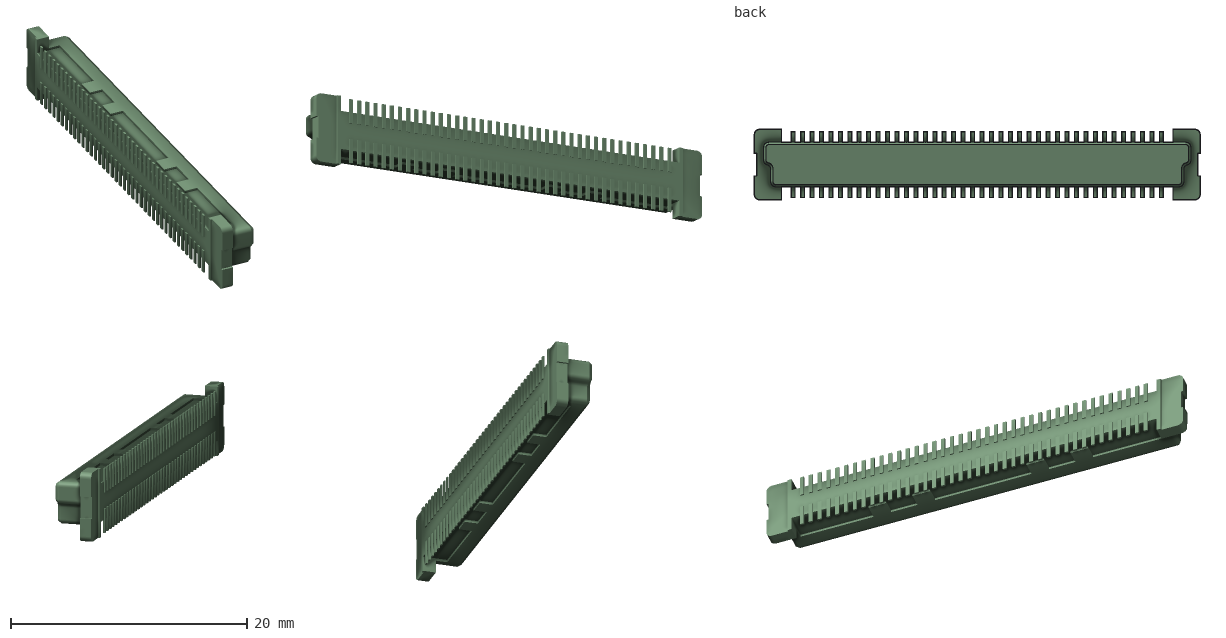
import cadquery as cq

LENGTH = 37.8
DEPTH = 3.7
HEIGHT = 6.0
MATING_Y = DEPTH / 2
BOARD_Y = -DEPTH / 2

PITCH = 0.8
CONTACTS_PER_ROW = 40
TAIL_WIDTH = 0.34
TAIL_INNER_Z = 0.7
TAIL_OUTER_Z = 2.8
TAIL_THICKNESS = 0.15
TAIL_STANDOFF = 0.1
STRIP_Y = BOARD_Y + TAIL_STANDOFF

BLOCK_BACK_Y = -0.6
BLOCK_INNER_X = 16.57
STRIP_END_X = 16.93
BLOCK_FACE_SETBACK = 0.15
BLOCK_CORNER_RADIUS = 0.5
NOTCH_DEPTH = 0.2
NOTCH_HEIGHT = 1.9

BODY_LENGTH = 36.2
BODY_HEIGHT = 3.78
KEY_STEP = 0.6
BODY_CORNER_RADIUS = 0.42
KEY_Z = -0.05
KEY_FILLET_RADIUS = 0.35
EDGE_PICK_MARGIN = 0.01
RIM_LENGTH = 0.3
RIM_INSET = 0.2

RECESS_DEPTH = 0.22
RECESS_TOP_Y = 0.41
TAB_BOTTOM_Y = -0.75
TAB_WIDTH = 1.6
INNER_TAB_X = 5.18
OUTER_TAB_X = 9.16
TAB_CENTERS = (-OUTER_TAB_X, -INNER_TAB_X, INNER_TAB_X, OUTER_TAB_X)


def box(x_range, y_range, z_range):
    """Axis-aligned box between the given limits."""
    size = [high - low for low, high in (x_range, y_range, z_range)]
    corner = (x_range[0], y_range[0], z_range[0])
    return cq.Workplane("XY").box(*size, centered=False).translate(corner)


def mating_body():
    """Keyed bar with rounded corners and a chamfered rim on the mating side."""
    upper_x = BODY_LENGTH / 2
    lower_x = upper_x - KEY_STEP
    top_z = BODY_HEIGHT / 2
    y_range = (BLOCK_BACK_Y, MATING_Y)
    upper = box((-upper_x, upper_x), y_range, (KEY_Z, top_z))
    upper = upper.edges("|Y").fillet(BODY_CORNER_RADIUS)
    lower = box((-lower_x, lower_x), y_range, (-top_z, top_z - BODY_CORNER_RADIUS))
    lower = lower.edges("|Y and <Z").fillet(BODY_CORNER_RADIUS)
    body = upper.union(lower)
    inside_corners = cq.selectors.BoxSelector(
        (-lower_x - EDGE_PICK_MARGIN, BOARD_Y, KEY_Z - EDGE_PICK_MARGIN),
        (lower_x + EDGE_PICK_MARGIN, MATING_Y, KEY_Z + EDGE_PICK_MARGIN),
    )
    body = body.edges("|Y").edges(inside_corners).fillet(KEY_FILLET_RADIUS)
    return body.faces(">Y").chamfer(RIM_LENGTH, RIM_INSET)


def housing_base():
    """Board-side bar that joins the two end blocks and carries the contacts."""
    half_height = BODY_HEIGHT / 2
    return box((-STRIP_END_X, STRIP_END_X), (STRIP_Y, BLOCK_BACK_Y), (-half_height, half_height))


def end_block(side):
    """End block at -X (side = -1) or +X (side = 1), notched and with rounded outer corners."""
    outer_x = LENGTH / 2
    half_height = HEIGHT / 2
    face_y = STRIP_Y + BLOCK_FACE_SETBACK
    block = box((BLOCK_INNER_X, outer_x), (face_y, BLOCK_BACK_Y), (-half_height, half_height))
    block = block.edges("|Y and >X").fillet(BLOCK_CORNER_RADIUS)
    lip = box((BLOCK_INNER_X, STRIP_END_X), (STRIP_Y, face_y), (-half_height, half_height))
    notch = box(
        (outer_x - NOTCH_DEPTH, outer_x),
        (face_y, BLOCK_BACK_Y),
        (-NOTCH_HEIGHT / 2, NOTCH_HEIGHT / 2),
    )
    block = block.union(lip).cut(notch)
    return block if side > 0 else block.mirror("YZ")


def long_side_recess(side):
    """Shallow recess volume on the +Z (side = 1) or -Z (side = -1) wall, less its tabs."""
    z_range = (BODY_HEIGHT / 2 - RECESS_DEPTH, BODY_HEIGHT / 2)
    recess = box((-BLOCK_INNER_X, BLOCK_INNER_X), (STRIP_Y, RECESS_TOP_Y), z_range)
    for center in TAB_CENTERS:
        x_range = (center - TAB_WIDTH / 2, center + TAB_WIDTH / 2)
        recess = recess.cut(box(x_range, (TAB_BOTTOM_Y, RECESS_TOP_Y), z_range))
    return recess if side > 0 else recess.mirror("XY")


def contact_tails():
    """Two rows of flat tails standing proud of the strip face."""
    tail_length = TAIL_OUTER_Z - TAIL_INNER_Z
    row_z = (TAIL_OUTER_Z + TAIL_INNER_Z) / 2
    return (
        cq.Workplane("XZ", origin=(0, BOARD_Y + TAIL_THICKNESS, 0))
        .rarray(PITCH, 2 * row_z, CONTACTS_PER_ROW, 2)
        .rect(TAIL_WIDTH, tail_length)
        .extrude(TAIL_THICKNESS)
    )


def connector():
    """Complete connector: body and base, recessed on both long sides, then blocks and tails."""
    housing = mating_body().union(housing_base())
    for side in (-1, 1):
        housing = housing.cut(long_side_recess(side))
        housing = housing.union(end_block(side))
    return housing.union(contact_tails())


result = connector()